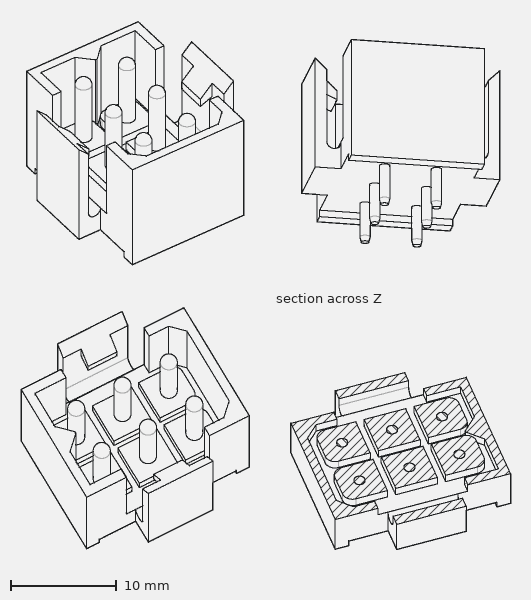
import cadquery as cq
import math


COLUMNS = 3
ROWS = 2
PITCH = 5.0

HOUSING_LENGTH = 17.6
HOUSING_WIDTH = 12.83
HOUSING_TOP = 11.1
FLOOR_THICKNESS = 2.72
END_WALL = 0.93
SIDE_WALL = 1.0
WINDOW_LENGTH = 8.97
FOOT_LENGTH = 1.39
FOOT_HEIGHT = 0.65

CORNER_CHAMFER = 1.28
KEY_DEPTH = 1.4
KEY_TIP_HALF_WIDTH = 0.09

PAD_SIZE = 4.2
PAD_HEIGHT = 1.0
PAD_CORNER_RADIUS = 1.0

LATCH_SPAN = 17.8
LATCH_LENGTH = 7.0
LATCH_THICKNESS = 1.12
LATCH_SLOPE_DROP = 2.44
HOOK_LENGTH = 3.12
HOOK_TIP_HEIGHT = 0.89
HOOK_UNDERCUT_RISE = 0.6
LATCH_FOOT_HEIGHT = 2.01

PIN_DIAMETER = 1.62
PIN_TOP = 10.96
PIN_DOME_HEIGHT = 0.75
TAIL_DIAMETER = 1.0
TAIL_LENGTH = 3.9
TAIL_TIP_DIAMETER = 0.73
TAIL_TAPER_LENGTH = 0.52

CAVITY_END = HOUSING_LENGTH / 2 - END_WALL
CAVITY_SIDE = HOUSING_WIDTH / 2 - SIDE_WALL
PAD_TOP = FLOOR_THICKNESS + PAD_HEIGHT
LATCH_OUTER = LATCH_SPAN / 2
LATCH_INNER = LATCH_OUTER - LATCH_THICKNESS
HOUSING_SIDE = HOUSING_WIDTH / 2
LATCH_REACH = LATCH_OUTER - HOUSING_SIDE

CONTACTS = [
    (column, (column - (COLUMNS - 1) / 2) * PITCH, (row - (ROWS - 1) / 2) * PITCH)
    for column in range(COLUMNS)
    for row in range(ROWS)
]


def box_on(z, length, width, height):
    """Box centred on the Z axis with its underside at height z."""
    return cq.Workplane("XY").workplane(offset=z).rect(length, width).extrude(height)


def make_cavity():
    """Open cavity with a V-shaped key on the -X wall and chamfered corners on the +X wall."""
    key_half_width = KEY_DEPTH + KEY_TIP_HALF_WIDTH
    key_tip = KEY_DEPTH - CAVITY_END
    return (
        cq.Workplane("XY")
        .workplane(offset=FLOOR_THICKNESS)
        .moveTo(-CAVITY_END, -CAVITY_SIDE)
        .lineTo(CAVITY_END - CORNER_CHAMFER, -CAVITY_SIDE)
        .lineTo(CAVITY_END, CORNER_CHAMFER - CAVITY_SIDE)
        .lineTo(CAVITY_END, CAVITY_SIDE - CORNER_CHAMFER)
        .lineTo(CAVITY_END - CORNER_CHAMFER, CAVITY_SIDE)
        .lineTo(-CAVITY_END, CAVITY_SIDE)
        .lineTo(-CAVITY_END, key_half_width)
        .lineTo(key_tip, KEY_TIP_HALF_WIDTH)
        .lineTo(key_tip, -KEY_TIP_HALF_WIDTH)
        .lineTo(-CAVITY_END, -key_half_width)
        .close()
        .extrude(HOUSING_TOP - FLOOR_THICKNESS)
    )


def make_shell():
    """Shroud with its cavity, side wall windows and a foot along each end."""
    shell = box_on(-FOOT_HEIGHT, HOUSING_LENGTH, HOUSING_WIDTH, HOUSING_TOP + FOOT_HEIGHT)
    underside = box_on(-FOOT_HEIGHT, HOUSING_LENGTH - 2 * FOOT_LENGTH, HOUSING_WIDTH, FOOT_HEIGHT)
    windows = box_on(FLOOR_THICKNESS, WINDOW_LENGTH, HOUSING_WIDTH, HOUSING_TOP - FLOOR_THICKNESS)
    return shell.cut(underside).cut(make_cavity()).cut(windows)


def make_pad(column, x, y):
    """Raised square pad; the pads of the end columns have rounded outer corners."""
    pad = box_on(FLOOR_THICKNESS, PAD_SIZE, PAD_SIZE, PAD_HEIGHT)
    if column == 0:
        pad = pad.faces("<X").edges("|Z").fillet(PAD_CORNER_RADIUS)
    elif column == COLUMNS - 1:
        pad = pad.faces(">X").edges("|Z").fillet(PAD_CORNER_RADIUS)
    return pad.translate((x, y, 0))


def extrude_latch_profile(profile, length):
    """Extrude a Y-Z profile along X, centred on X = 0."""
    return profile.close().extrude(length / 2, both=True)


def make_latch():
    """Latch on the +Y side: an L-shaped arm with a rounded root and a sloped hook."""
    slope = LATCH_SLOPE_DROP / LATCH_REACH
    arm_inner_top = HOUSING_TOP - slope * LATCH_THICKNESS
    hook_tip_top = HOUSING_TOP - LATCH_SLOPE_DROP
    hook_tip_bottom = hook_tip_top - HOOK_TIP_HEIGHT
    root_radius = (LATCH_INNER - HOUSING_SIDE) / 2
    root_centre = LATCH_FOOT_HEIGHT + root_radius

    arm = extrude_latch_profile(
        cq.Workplane("YZ")
        .moveTo(HOUSING_SIDE, 0)
        .lineTo(LATCH_OUTER, 0)
        .lineTo(LATCH_OUTER, HOUSING_TOP)
        .lineTo(LATCH_INNER, arm_inner_top)
        .lineTo(LATCH_INNER, root_centre)
        .threePointArc((LATCH_INNER - root_radius, LATCH_FOOT_HEIGHT), (HOUSING_SIDE, root_centre)),
        LATCH_LENGTH,
    )
    hook = extrude_latch_profile(
        cq.Workplane("YZ")
        .moveTo(LATCH_INNER, arm_inner_top)
        .lineTo(HOUSING_SIDE, hook_tip_top)
        .lineTo(HOUSING_SIDE, hook_tip_bottom)
        .lineTo(LATCH_INNER, hook_tip_bottom + HOOK_UNDERCUT_RISE),
        HOOK_LENGTH,
    )
    return arm.union(hook)


def make_housing():
    """Shell, pads and latches in one body, with a through hole for each pin tail."""
    latch = make_latch()
    housing = make_shell().union(latch).union(latch.mirror("XZ"))
    for column, x, y in CONTACTS:
        housing = housing.union(make_pad(column, x, y))
    for _, x, y in CONTACTS:
        hole = cq.Workplane("XY").circle(TAIL_DIAMETER / 2).extrude(PAD_TOP)
        housing = housing.cut(hole.translate((x, y, 0)))
    return housing


def make_pin(x, y):
    """Pin with a spherical cap, seated on its pad, with a thinner tapered tail through the floor."""
    radius = PIN_DIAMETER / 2
    tail_radius = TAIL_DIAMETER / 2
    dome_base = PIN_TOP - PIN_DOME_HEIGHT
    dome_radius = (radius**2 + PIN_DOME_HEIGHT**2) / (2 * PIN_DOME_HEIGHT)
    dome_centre = PIN_TOP - dome_radius
    half_angle = math.asin(radius / dome_radius) / 2
    return (
        cq.Workplane("XZ")
        .moveTo(0, -TAIL_LENGTH)
        .lineTo(TAIL_TIP_DIAMETER / 2, -TAIL_LENGTH)
        .lineTo(tail_radius, TAIL_TAPER_LENGTH - TAIL_LENGTH)
        .lineTo(tail_radius, PAD_TOP)
        .lineTo(radius, PAD_TOP)
        .lineTo(radius, dome_base)
        .threePointArc(
            (dome_radius * math.sin(half_angle), dome_centre + dome_radius * math.cos(half_angle)),
            (0, PIN_TOP),
        )
        .close()
        .revolve(360, (0, 0, 0), (0, 1, 0))
        .translate((x, y, 0))
    )


housing = make_housing()
pins = [make_pin(x, y) for _, x, y in CONTACTS]

result = cq.Compound.makeCompound([housing.val(), *[pin.val() for pin in pins]])